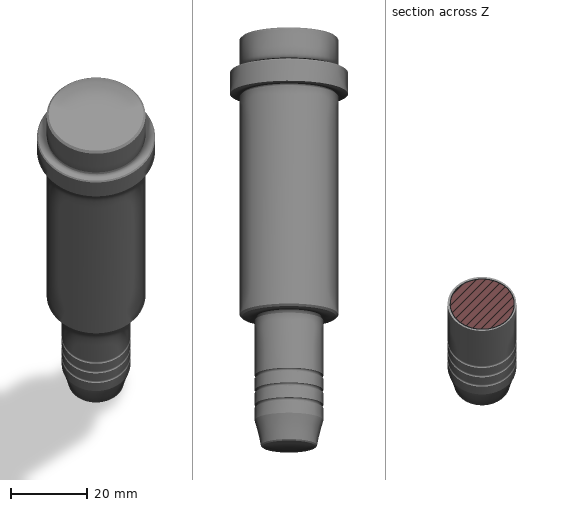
import cadquery as cq

total_length = 110.0
body_radius = 13.0
collar_radius = 15.5
stem_radius = 9.0

body_bottom = 35.0
collar_bottom = 94.9
collar_top = 101.0
head_bottom = 101.8

edge_chamfer = 0.5
collar_chamfer = 0.3
neck_radius = body_radius - 0.8
stem_relief_radius = stem_radius - 0.5
stem_relief_height = 1.0

nose_height = 7.0
nose_tip_radius = 7.4
nose_hollow = 0.1
nose_chamfer = 0.3

groove_count = 3
groove_pitch = 4.0
first_groove_height = 10.8
groove_radius = 0.4


def cylinder(radius, bottom, top):
    return cq.Workplane("XY").workplane(offset=bottom).circle(radius).extrude(top - bottom)


def make_nose():
    """Nose with a slightly hollow taper and a chamfered tip."""
    middle_radius = (nose_tip_radius + stem_radius) / 2 - nose_hollow
    middle_height = (nose_chamfer + nose_height) / 2
    return (
        cq.Workplane("XZ")
        .lineTo(nose_tip_radius - nose_chamfer, 0)
        .lineTo(nose_tip_radius, nose_chamfer)
        .threePointArc((middle_radius, middle_height), (stem_radius, nose_height))
        .lineTo(0, nose_height)
        .close()
        .revolve(360, (0, 0, 0), (0, 1, 0))
    )


def make_stem():
    """Grooved stem with a narrow relief under the body."""
    relief_bottom = body_bottom - stem_relief_height
    stem = cylinder(stem_radius, nose_height, relief_bottom)
    for index in range(groove_count):
        height = first_groove_height + index * groove_pitch
        ring = cq.Solid.makeTorus(stem_radius, groove_radius, cq.Vector(0, 0, height))
        stem = stem.cut(cq.Workplane(obj=ring))
    return stem.union(cylinder(stem_relief_radius, relief_bottom, body_bottom))


def make_body():
    """Main barrel, chamfered at the bottom and coned in to the neck under the collar."""
    barrel = cylinder(body_radius, body_bottom, collar_bottom)
    barrel = barrel.faces("<Z").edges().chamfer(edge_chamfer)
    return barrel.faces(">Z").edges().chamfer(body_radius - neck_radius)


def make_collar():
    """Wide collar with a chamfered top rim and a conical neck up to the head."""
    collar = cylinder(collar_radius, collar_bottom, collar_top)
    collar = collar.faces(">Z").edges().chamfer(collar_chamfer)
    neck = cylinder(body_radius, collar_bottom, head_bottom)
    neck = neck.faces(">Z").edges().chamfer(body_radius - neck_radius)
    return collar.union(neck)


def make_head():
    """Short head with a chamfered top rim."""
    return cylinder(body_radius, head_bottom, total_length).faces(">Z").edges().chamfer(edge_chamfer)


result = make_nose().union(make_stem()).union(make_body()).union(make_collar()).union(make_head())